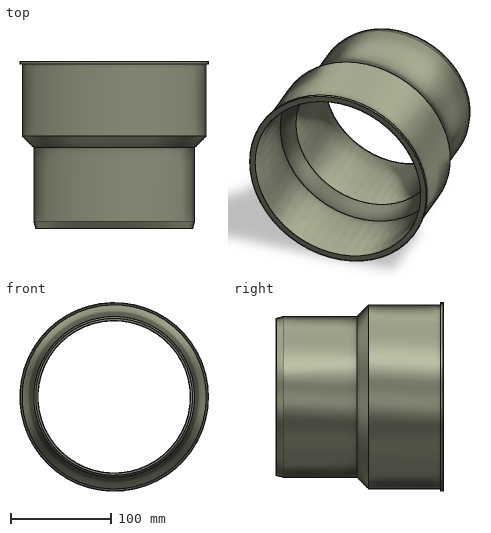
import cadquery as cq

total_length = 166.5
flange_diameter = 187.8
flange_thickness = 2.8
socket_diameter = 183.3
socket_bore = 176.0
socket_length = 74.4
spigot_diameter = 160.2
spigot_bore = 151.5
tip_diameter = 156.2
tip_length = 7.1
spigot_bore_length = 83.2

shoulder_length = (socket_diameter - spigot_diameter) / 2
bore_shoulder_length = (socket_bore - spigot_bore) / 2

flange_start = total_length - flange_thickness
shoulder_end = total_length - socket_length
shoulder_start = shoulder_end - shoulder_length

half_section = [
    (tip_diameter / 2, 0),
    (spigot_diameter / 2, tip_length),
    (spigot_diameter / 2, shoulder_start),
    (socket_diameter / 2, shoulder_end),
    (socket_diameter / 2, flange_start),
    (flange_diameter / 2, flange_start),
    (flange_diameter / 2, total_length),
    (socket_bore / 2, total_length),
    (socket_bore / 2, spigot_bore_length + bore_shoulder_length),
    (spigot_bore / 2, spigot_bore_length),
    (spigot_bore / 2, 0),
]

result = cq.Workplane("XY").polyline(half_section).close().revolve(360, (0, 0, 0), (0, 1, 0))